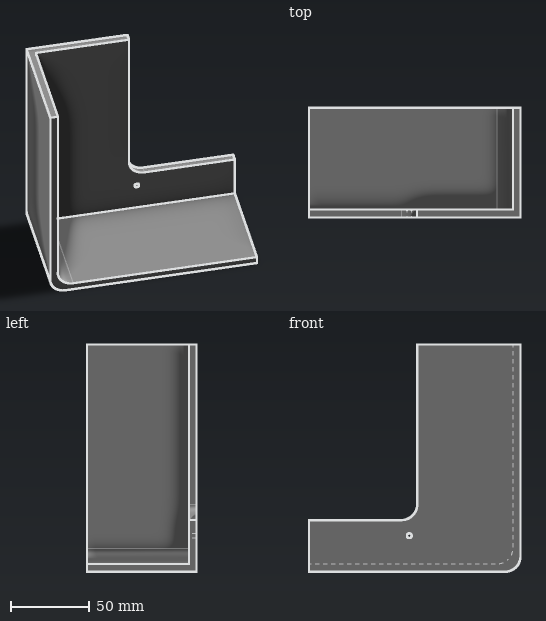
import cadquery as cq

length = 135.0
depth = 70.0
height = 145.0

bend_radius = 10.0
wall = bend_radius / 2
column_width = 66.0
arm_height = 33.0

hole_diameter = 2.9
hole_x = length - column_width - wall
hole_z = arm_height - bend_radius


def side_plate():
    """L-shaped plate in the XZ plane, occupying the lowest Y."""
    step_x = length - column_width
    plate = (
        cq.Workplane("XZ")
        .moveTo(0, 0)
        .lineTo(length, 0)
        .lineTo(length, height)
        .lineTo(step_x, height)
        .lineTo(step_x, arm_height)
        .lineTo(0, arm_height)
        .close()
        .extrude(-wall)
    )
    inside_corner = cq.selectors.NearestToPointSelector((step_x, wall / 2, arm_height))
    outside_corner = cq.selectors.NearestToPointSelector((length, wall / 2, 0))
    plate = plate.edges(inside_corner).fillet(bend_radius)
    return plate.edges(outside_corner).fillet(bend_radius)


def bent_strip():
    """Floor and +X wall joined by a bend with equal inner and outer radii."""
    outer = cq.Workplane("XY").box(length, depth, height, centered=False)
    outer = outer.edges("|Y and >X and <Z").fillet(bend_radius)
    inner = cq.Workplane("XY").box(length - wall, depth, height - wall, centered=False)
    inner = inner.edges("|Y and >X and <Z").fillet(bend_radius).translate((0, 0, wall))
    return outer.cut(inner)


def plate_hole():
    """Cylinder that drills through the side plate along Y."""
    return cq.Workplane("XZ").center(hole_x, hole_z).circle(hole_diameter / 2).extrude(-wall)


result = side_plate().union(bent_strip()).cut(plate_hole())